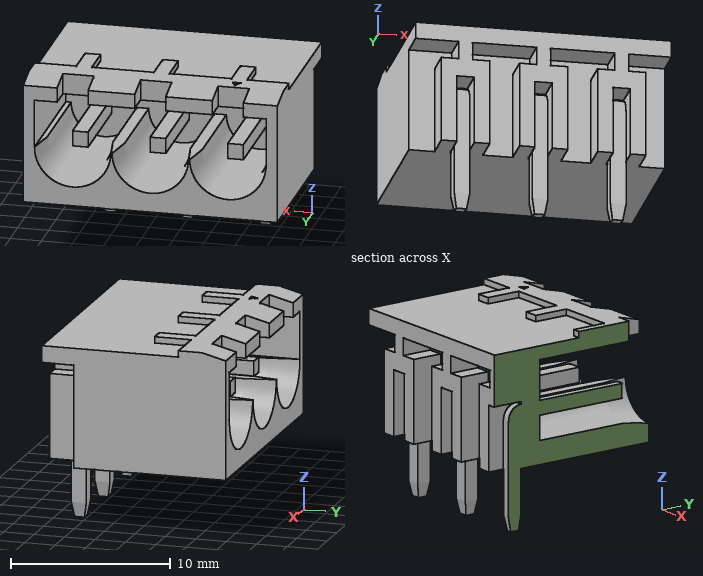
import cadquery as cq


width = 16.4
depth = 12.1
height = 8.2
pole_pitch = 5.0
pole_centres = [-pole_pitch, 0.0, pole_pitch]

ridge_height = 0.41
ridge_length = 3.12
rib_reach = 5.51
rib_width = 1.0
bevel_length = 1.57
notch_width = 2.0
roof_z = height - ridge_height
ridge_front_y = depth - ridge_length
bevel_start_y = depth - bevel_length

mark_width = 0.52
mark_length = 0.5
mark_depth = 0.08
mark_setback = 2.5
mark_base_y = depth - mark_setback

recess_depth = 2.1
recess_top_z = 6.69
rail_top_z = 5.55
rail_width = 3.1
web_width = 0.9
channel_width = 1.12
channel_top_z = 4.38

pin_size = 1.0
pin_top_z = 4.23
pin_bend_radius = 0.98
pin_length_below = 4.0
pin_taper_length = 1.0
pin_tip_size = 0.65
pin_end_y = 10.0
pin_axis_z = pin_top_z - pin_size / 2
pin_centre_y = recess_depth - pin_size / 2

mouth_roof_thickness = 1.35
dividing_wall = 1.48
cavity_roof_z = height - mouth_roof_thickness
cavity_back_y = recess_depth + dividing_wall
trough_radius = 2.12
mouth_radius = 2.46
lead_in_length = 2.0
cavity_width = 2 * (pole_pitch + mouth_radius)


def block(x_size, x_centre, y_range, z_range):
    """Box given by its X size and centre and its Y and Z limits."""
    y_start, y_end = y_range
    z_start, z_end = z_range
    return (
        cq.Workplane("XY")
        .box(x_size, y_end - y_start, z_end - z_start, centered=(True, False, False))
        .translate((x_centre, y_start, z_start))
    )


def make_shell():
    """Solid housing with its roof, ridge and bevelled rear edge."""
    side_outline = [
        (0, 0),
        (depth, 0),
        (depth, roof_z),
        (bevel_start_y, height),
        (ridge_front_y, height),
        (ridge_front_y, roof_z),
        (0, roof_z),
    ]
    return cq.Workplane("YZ").polyline(side_outline).close().extrude(width / 2, both=True)


def make_cavity():
    """Plug space: a flat-roofed box with one round trough per pole, flared at the mouth."""
    lead_in_y = depth - lead_in_length
    trough_outline = [
        (0, cavity_back_y),
        (trough_radius, cavity_back_y),
        (trough_radius, lead_in_y),
        (mouth_radius, depth),
        (0, depth),
    ]
    trough = cq.Workplane("XY").polyline(trough_outline).close().revolve(360, (0, 0), (0, 1))
    cavity = block(cavity_width, 0, (cavity_back_y, depth), (pin_axis_z, cavity_roof_z))
    for x in pole_centres:
        cavity = cavity.union(trough.translate((x, 0, pin_axis_z)))
    return cavity


def make_rail(x):
    """Front rail hanging from the roof on a web, split by the pin channel."""
    rail = block(rail_width, x, (0, recess_depth), (0, rail_top_z))
    web = block(web_width, x, (0, recess_depth), (rail_top_z, recess_top_z))
    channel = block(channel_width, x, (0, recess_depth), (0, channel_top_z))
    return rail.union(web).cut(channel)


def make_pin(x):
    """Square pin that runs forward, bends down and ends in a tapered tip."""
    taper_top_z = pin_taper_length - pin_length_below
    front_y = recess_depth - pin_size
    bar = block(pin_size, x, (front_y, pin_end_y), (pin_top_z - pin_size, pin_top_z))
    leg = block(pin_size, x, (front_y, recess_depth), (taper_top_z, pin_top_z))
    bent = bar.union(leg).edges("|X and >Z and <Y").fillet(pin_bend_radius)
    tip = (
        cq.Workplane("XY", origin=(x, pin_centre_y, -pin_length_below))
        .rect(pin_tip_size, pin_tip_size)
        .workplane(offset=pin_taper_length)
        .rect(pin_size, pin_size)
        .loft()
    )
    return bent.union(tip)


def make_mark(x):
    """Shallow triangle pointing towards +Y, to be cut from the top of the ridge."""
    return (
        cq.Workplane("XY", origin=(x, mark_base_y, height))
        .polyline([(-mark_width / 2, 0), (mark_width / 2, 0), (0, mark_length)])
        .close()
        .extrude(-mark_depth)
    )


front_recess = block(width, 0, (0, recess_depth), (0, recess_top_z))
result = make_shell().cut(front_recess).cut(make_cavity())

for pole_x in pole_centres:
    notch = block(notch_width, pole_x, (bevel_start_y, depth), (cavity_roof_z, height))
    rib = block(rib_width, pole_x, (depth - rib_reach, ridge_front_y), (roof_z, height))
    result = result.cut(notch).union(rib).union(make_rail(pole_x)).union(make_pin(pole_x))

result = result.cut(make_mark(pole_centres[0]))